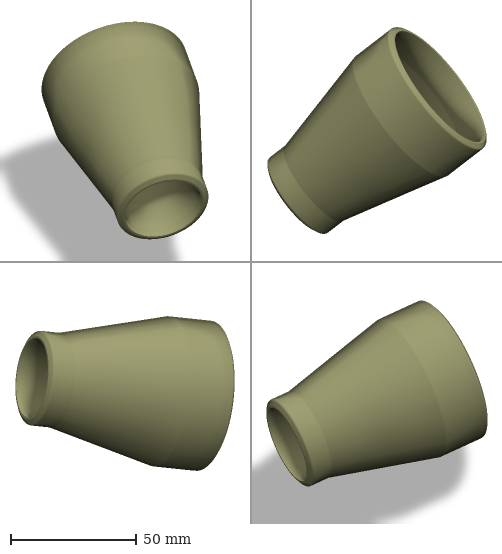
import cadquery as cq
import math

length = 76.0
large_length = 20.0
small_length = 10.0
large_outer_diameter = 60.3
small_outer_diameter = 38.0
large_bore_diameter = 54.5
small_bore_diameter = 32.0
large_bore_depth = 12.15
small_bore_depth = 17.6

bevel_angle = math.radians(30)
land_width = 0.8
rim_chamfer = 0.19
corner_rounding = 1.0

large_outer_radius = large_outer_diameter / 2
small_outer_radius = small_outer_diameter / 2
large_bore_radius = large_bore_diameter / 2
small_bore_radius = small_bore_diameter / 2
large_land_radius = large_bore_radius + land_width
small_land_radius = small_bore_radius + land_width
large_bevel_length = (large_outer_radius - large_land_radius) * math.tan(bevel_angle)
small_bevel_length = (small_outer_radius - small_land_radius) * math.tan(bevel_angle)
large_bevel_end = large_bevel_length
small_bevel_start = length - small_bevel_length
cone_start = large_length
cone_end = length - small_length


def round_circle_edges(body, positions, radius):
    """Round the outer circular edges lying at the given (x, edge radius) positions."""
    tolerance = 0.01
    edges = [
        edge
        for edge in body.edges("%CIRCLE").vals()
        for x, edge_radius in positions
        if abs(edge.Center().x - x) < tolerance and abs(edge.radius() - edge_radius) < tolerance
    ]
    return body.newObject(edges).fillet(radius)


wall_section = (
    cq.Workplane("XZ")
    .moveTo(rim_chamfer, large_bore_radius)
    .lineTo(0, large_bore_radius + rim_chamfer)
    .lineTo(0, large_land_radius)
    .lineTo(large_bevel_end, large_outer_radius)
    .lineTo(cone_start, large_outer_radius)
    .lineTo(cone_end, small_outer_radius)
    .lineTo(small_bevel_start, small_outer_radius)
    .lineTo(length, small_land_radius)
    .lineTo(length, small_bore_radius)
    .lineTo(length - small_bore_depth, small_bore_radius)
    .lineTo(large_bore_depth, large_bore_radius)
    .close()
)
reducer = wall_section.revolve(360, (0, 0, 0), (1, 0, 0))

bevel_corners = [
    (large_bevel_end, large_outer_radius),
    (small_bevel_start, small_outer_radius),
]
reducer = round_circle_edges(reducer, bevel_corners, corner_rounding)

cone_shoulders = [
    (cone_start, large_outer_radius),
    (cone_end, small_outer_radius),
]
result = round_circle_edges(reducer, cone_shoulders, corner_rounding)